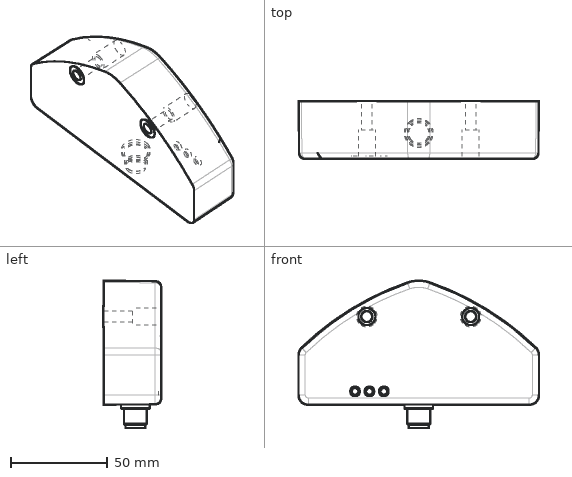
import cadquery as cq

WIDTH = 125.0
DEPTH = 30.0
SHOULDER_HEIGHT = 28.1
PEAK_HEIGHT = 65.5
ROOF_RADIUS = 150.0
PEAK_RADIUS = 17.5
CORNER_RADIUS = 5.0
FRONT_EDGE_RADIUS = 3.2
DRAFT_ANGLE = 0.5

MOUNT_SPACING = 54.0
MOUNT_HEIGHT = 45.9
MOUNT_HOLE_DIAMETER = 5.6
COUNTERBORE_DIAMETER = 8.9
PAD_DIAMETER = 10.8
PAD_THICKNESS = 0.2
PAD_OVERLAP = 1.2
COUNTERBORE_DEPTH = DEPTH / 2

INDICATOR_COUNT = 3
INDICATOR_PITCH = 7.5
INDICATOR_CENTRE_X = -25.6
INDICATOR_HEIGHT = 7.0
INDICATOR_DIAMETER = 5.0
INDICATOR_DEPTH = 1.5
INDICATOR_FLOOR_DIAMETER = 3.5

CONNECTOR_Y = 13.5
FLANGE_DIAMETER = 15.0
FLANGE_LENGTH = 2.2
BARREL_DIAMETER = 12.0
BARREL_END = 10.4
TIP_DIAMETER = 10.5
CONNECTOR_LENGTH = 12.1
CONNECTOR_ROOT = 1.2
CONNECTOR_CHAMFER = 0.6


def cylinder_along_y(x, z, diameter, y_start, y_end):
    """Cylinder parallel to Y between two depths."""
    return (
        cq.Workplane("XZ", origin=(x, y_start, z))
        .circle(diameter / 2)
        .extrude(y_start - y_end)
    )


def cylinder_down(diameter, length):
    """Connector section ending the given length below the bottom face."""
    return (
        cq.Workplane("XY", origin=(0, CONNECTOR_Y, CONNECTOR_ROOT))
        .circle(diameter / 2)
        .extrude(-CONNECTOR_ROOT - length)
    )


def make_housing():
    half_width = WIDTH / 2
    body = (
        cq.Workplane("XZ", origin=(0, DEPTH, 0))
        .moveTo(-half_width, 0)
        .lineTo(half_width, 0)
        .lineTo(half_width, SHOULDER_HEIGHT)
        .radiusArc((0, PEAK_HEIGHT), -ROOF_RADIUS)
        .radiusArc((-half_width, SHOULDER_HEIGHT), -ROOF_RADIUS)
        .close()
        .extrude(DEPTH, taper=DRAFT_ANGLE)
    )
    corners = body.edges("not (<Y or >Y or >Z)")
    body = corners.fillet(CORNER_RADIUS)
    peak = body.edges("not (<Y or >Y)").edges(">Z")
    body = peak.fillet(PEAK_RADIUS)
    return body.faces("<Y").edges().fillet(FRONT_EDGE_RADIUS)


def add_mounts(body):
    for x in (-MOUNT_SPACING / 2, MOUNT_SPACING / 2):
        back = DEPTH + PAD_THICKNESS
        pad = cylinder_along_y(x, MOUNT_HEIGHT, PAD_DIAMETER, DEPTH - PAD_OVERLAP, back)
        hole = cylinder_along_y(x, MOUNT_HEIGHT, MOUNT_HOLE_DIAMETER, 0, back)
        counterbore = cylinder_along_y(x, MOUNT_HEIGHT, COUNTERBORE_DIAMETER, 0, COUNTERBORE_DEPTH)
        body = body.union(pad).cut(hole).cut(counterbore)
    return body


def cut_indicators(body):
    for index in range(INDICATOR_COUNT):
        x = INDICATOR_CENTRE_X + (index - (INDICATOR_COUNT - 1) / 2) * INDICATOR_PITCH
        recess = (
            cq.Workplane("XZ", origin=(x, 0, INDICATOR_HEIGHT))
            .circle(INDICATOR_DIAMETER / 2)
            .workplane(offset=-INDICATOR_DEPTH)
            .circle(INDICATOR_FLOOR_DIAMETER / 2)
            .loft()
        )
        body = body.cut(recess)
    return body


def make_connector():
    flange = cylinder_down(FLANGE_DIAMETER, FLANGE_LENGTH)
    barrel = cylinder_down(BARREL_DIAMETER, BARREL_END)
    tip = cylinder_down(TIP_DIAMETER, CONNECTOR_LENGTH)
    flange = flange.faces("<Z").chamfer(CONNECTOR_CHAMFER)
    barrel = barrel.faces("<Z").chamfer(CONNECTOR_CHAMFER)
    return flange.union(barrel).union(tip)


housing = cut_indicators(add_mounts(make_housing()))
result = housing.union(make_connector())